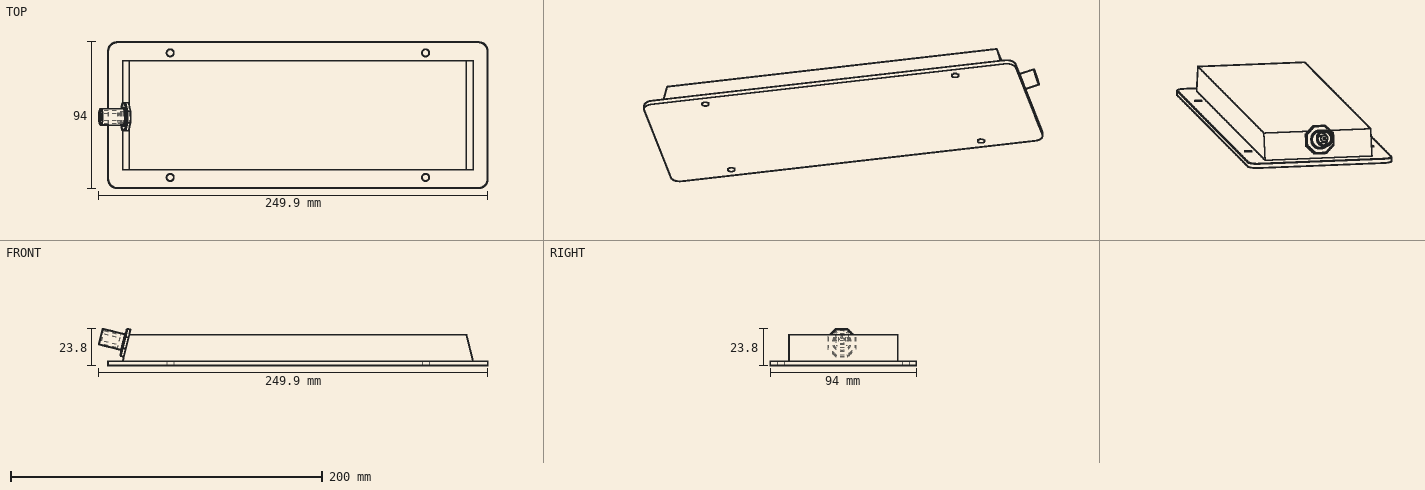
import cadquery as cq
import math

plate_length = 244.0
plate_width = 94.0
plate_thickness = 3.0
plate_corner_radius = 6.0
plate_edge_chamfer = 0.3

screw_hole_diameter = 4.5
screw_spacing_x = 164.0
screw_spacing_y = 80.0

housing_base_length = 225.0
housing_width = 70.0
housing_height = 17.0
end_wall_tilt = 14.0

connector_y = -1.1
connector_height = 14.47
nut_sides = 8
nut_across_flats = 18.0
nut_thickness = 2.5
nut_chamfer = 0.6
collar_diameter = 12.0
collar_thickness = 0.3
barrel_diameter = 10.5
barrel_tip_distance = 17.55
mouth_diameter = 10.11
mouth_depth = 0.5
socket_diameter = 8.5
socket_depth = 12.0
insulator_diameter = 4.5
insulator_length = 11.0
contact_diameter = 1.5
contact_length = 12.0


def make_plate():
    """Rounded plate with a chamfered top rim and four screw holes."""
    plate = (
        cq.Workplane("XY")
        .rect(plate_length, plate_width)
        .extrude(plate_thickness)
        .edges("|Z")
        .fillet(plate_corner_radius)
        .faces(">Z")
        .edges()
        .chamfer(plate_edge_chamfer)
    )
    return (
        plate.faces(">Z")
        .workplane(origin=(0, 0, 0))
        .rect(screw_spacing_x, screw_spacing_y, forConstruction=True)
        .vertices()
        .hole(screw_hole_diameter)
    )


def make_housing():
    """Trapezoidal block whose two end walls lean inward."""
    inset = housing_height * math.tan(math.radians(end_wall_tilt))
    half_base = housing_base_length / 2
    half_top = half_base - inset
    top = plate_thickness + housing_height
    return (
        cq.Workplane("XZ")
        .moveTo(-half_base, plate_thickness)
        .lineTo(half_base, plate_thickness)
        .lineTo(half_top, top)
        .lineTo(-half_top, top)
        .close()
        .extrude(housing_width / 2, both=True)
    )


def make_connector():
    """Coaxial connector stacked outward along the normal of the end wall."""
    tilt = math.radians(end_wall_tilt)
    wall_x = -housing_base_length / 2 + (connector_height - plate_thickness) * math.tan(tilt)
    wall_plane = cq.Plane(
        origin=(wall_x, connector_y, connector_height),
        xDir=(0, 1, 0),
        normal=(-math.cos(tilt), 0, math.sin(tilt)),
    )

    def cylinder(diameter, start, end):
        return cq.Workplane(wall_plane).workplane(offset=start).circle(diameter / 2).extrude(end - start)

    nut = (
        cq.Workplane(wall_plane)
        .polygon(nut_sides, nut_across_flats, circumscribed=True)
        .extrude(nut_thickness)
        .faces(cq.DirectionMinMaxSelector(wall_plane.zDir))
        .edges()
        .chamfer(nut_chamfer)
    )
    collar_end = nut_thickness + collar_thickness
    socket_floor = barrel_tip_distance - socket_depth
    mouth = (
        cq.Workplane(wall_plane)
        .workplane(offset=barrel_tip_distance)
        .circle(mouth_diameter / 2)
        .workplane(offset=-mouth_depth)
        .circle(socket_diameter / 2)
        .loft()
    )
    return (
        nut
        .union(cylinder(collar_diameter, nut_thickness, collar_end))
        .union(cylinder(barrel_diameter, collar_end, barrel_tip_distance))
        .cut(cylinder(socket_diameter, socket_floor, barrel_tip_distance))
        .cut(mouth)
        .union(cylinder(insulator_diameter, socket_floor, socket_floor + insulator_length))
        .union(cylinder(contact_diameter, socket_floor, socket_floor + contact_length))
    )


result = make_plate().union(make_housing()).union(make_connector())